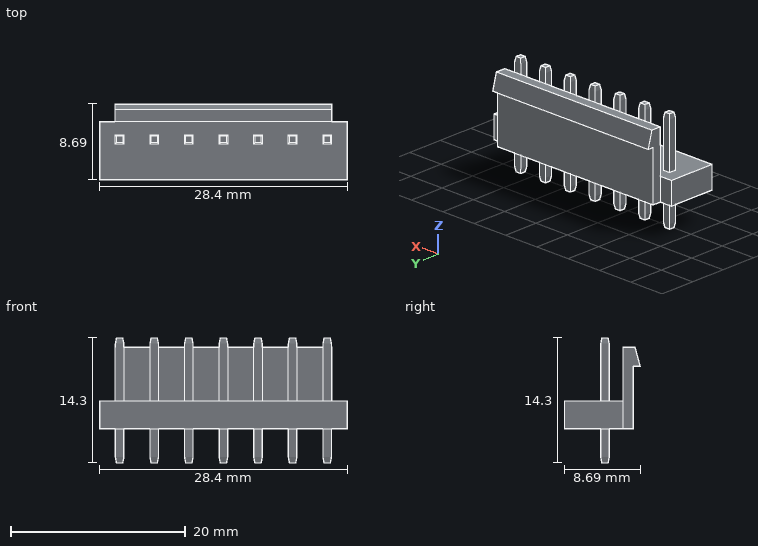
import cadquery as cq

pin_count = 7
pin_pitch = 3.96
pin_width = 1.0
pin_tip_width = 0.74
pin_tip_length = 0.68
pin_above_base = 7.2
pin_below_base = 3.93

base_length = 28.36
base_height = 3.2
base_back = 2.05
total_depth = 8.69

wall_length = 24.84
wall_thickness = 1.2
wall_top = 9.35
latch_bottom = 7.13
latch_overhang = 0.8
latch_top_overhang = 0.2

wall_back = base_back + wall_thickness
latch_back = wall_back + latch_overhang
latch_top_back = wall_back + latch_top_overhang
base_front = latch_back - total_depth
pin_top = base_height + pin_above_base
pin_bottom = -pin_below_base
row_start = -pin_pitch * (pin_count - 1) / 2


def make_base():
    """Rectangular block that carries the pins."""
    return cq.Workplane("XY").box(
        base_length, base_back - base_front, base_height, centered=(True, False, False)
    ).translate((0, base_front, 0))


def make_latch_wall():
    """Upright wall behind the base, with a sloped latch along its top edge."""
    profile = [
        (base_back, 0),
        (wall_back, 0),
        (wall_back, latch_bottom),
        (latch_back, latch_bottom),
        (latch_top_back, wall_top),
        (base_back, wall_top),
    ]
    return cq.Workplane("YZ").polyline(profile).close().extrude(wall_length / 2, both=True)


def make_pin_tip(shoulder_z, end_z):
    """Square frustum that narrows from the pin shoulder to the pin end."""
    return (
        cq.Workplane("XY", origin=(0, 0, shoulder_z))
        .rect(pin_width, pin_width)
        .workplane(offset=end_z - shoulder_z)
        .rect(pin_tip_width, pin_tip_width)
        .loft(ruled=True)
    )


def make_pin():
    """Square pin, tapered at both ends."""
    lower_shoulder = pin_bottom + pin_tip_length
    upper_shoulder = pin_top - pin_tip_length
    shank = (
        cq.Workplane("XY", origin=(0, 0, lower_shoulder))
        .rect(pin_width, pin_width)
        .extrude(upper_shoulder - lower_shoulder)
    )
    upper_tip = make_pin_tip(upper_shoulder, pin_top)
    lower_tip = make_pin_tip(lower_shoulder, pin_bottom)
    return shank.union(upper_tip).union(lower_tip)


result = make_base().union(make_latch_wall())
pin = make_pin()
for pin_index in range(pin_count):
    result = result.union(pin.translate((row_start + pin_index * pin_pitch, 0, 0)))